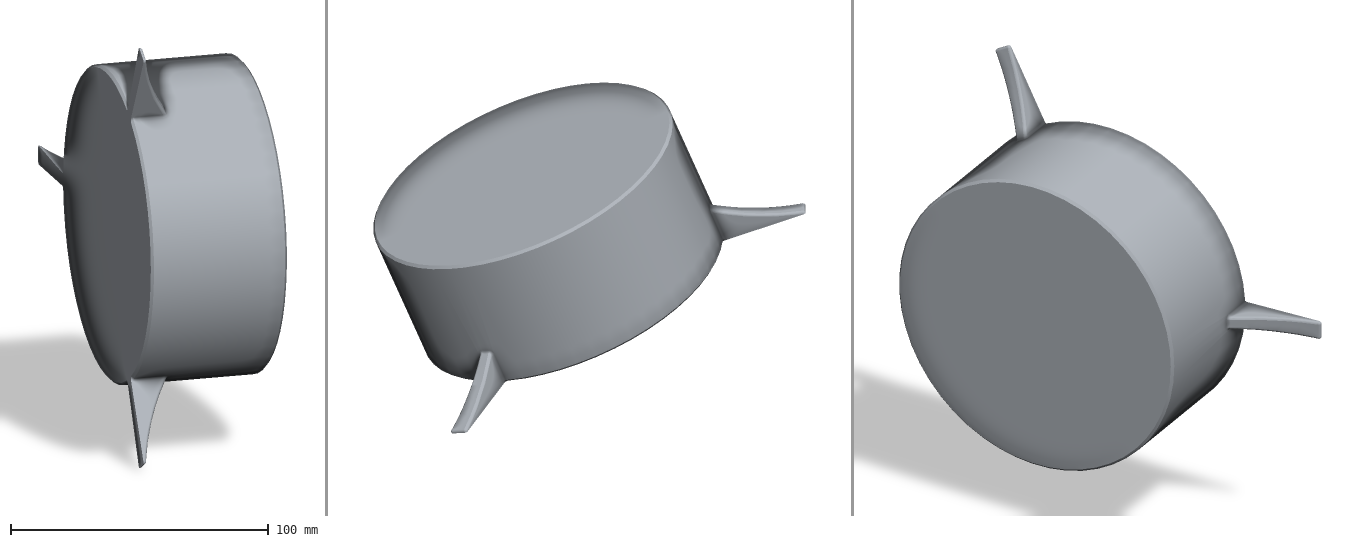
import cadquery as cq
import math

drum_radius = 62.5
drum_depth = 54.91
drum_edge_chamfer = 1.0

fin_count = 3
fin_tip_radius = 96.5
fin_root_width = 5.2
fin_tip_width = 7.73
fin_root_height = 14.7
fin_tip_height = 1.1
fin_curve_radius = 95.0
fin_corner_fillet = 1.0
fin_edge_fillet = 1.0
fin_root_fillet = 1.0

fin_overlap = 2.5
fin_inner_radius = drum_radius - fin_overlap

blank_height = 2 * fin_root_height

root_zone_margin = 1.5


def make_drum():
    """Solid cylinder from Y = 0 to Y = drum_depth with both rims chamfered."""
    return (
        cq.Workplane("XZ")
        .circle(drum_radius)
        .extrude(-drum_depth)
        .faces("<Y or >Y")
        .edges()
        .chamfer(drum_edge_chamfer)
    )


def fin_width_at(radius):
    """Fin width, growing evenly from the drum wall to the tip."""
    growth = (fin_tip_width - fin_root_width) / (fin_tip_radius - drum_radius)
    return fin_root_width + growth * (radius - drum_radius)


def make_fin():
    """One fin pointing along +X: a tapered plan cut by a concave back curve."""
    inner_half_width = fin_width_at(fin_inner_radius) / 2
    tip_half_width = fin_tip_width / 2
    plan = (
        cq.Workplane("XZ")
        .moveTo(fin_inner_radius, -inner_half_width)
        .lineTo(fin_tip_radius, -tip_half_width)
        .lineTo(fin_tip_radius, tip_half_width)
        .lineTo(fin_inner_radius, inner_half_width)
        .close()
        .extrude(-blank_height)
    )

    run = fin_tip_radius - drum_radius
    drop = fin_root_height - fin_tip_height
    chord = math.hypot(run, drop)
    centre_offset = math.sqrt(fin_curve_radius**2 - (chord / 2) ** 2)
    centre_x = (drum_radius + fin_tip_radius) / 2 + centre_offset * drop / chord
    centre_y = (fin_root_height + fin_tip_height) / 2 + centre_offset * run / chord
    back_curve = (
        cq.Workplane("XY")
        .center(centre_x, centre_y)
        .circle(fin_curve_radius)
        .extrude(fin_tip_width, both=True)
    )
    return plan.cut(back_curve)


def soften_fin(fin):
    """Round the two upright tip corners, then the rim of the concave back."""
    rounded = fin.faces(">X").edges("|Y").fillet(fin_corner_fillet)
    concave_back = rounded.faces("%CYLINDER").faces(">Y")
    return concave_back.edges("not <X").fillet(fin_edge_fillet)


def join_fin(body, fin):
    """Fuse a fin pointing along +X to the drum and fillet where they meet."""
    root_zone = cq.selectors.BoxSelector(
        (drum_radius - root_zone_margin, -root_zone_margin, -fin_root_width),
        (drum_radius + root_zone_margin, fin_root_height + root_zone_margin, fin_root_width),
    )
    return body.union(fin).edges(root_zone).fillet(fin_root_fillet)


def make_part():
    """Drum with evenly spaced fins, one of them pointing along -X."""
    half_turn = 180.0
    fin_step = 2 * half_turn / fin_count
    fin = soften_fin(make_fin())
    body = make_drum()
    for _ in range(fin_count):
        body = join_fin(body, fin).rotate((0, 0, 0), (0, 1, 0), fin_step)
    return body.rotate((0, 0, 0), (0, 1, 0), half_turn)


result = make_part()